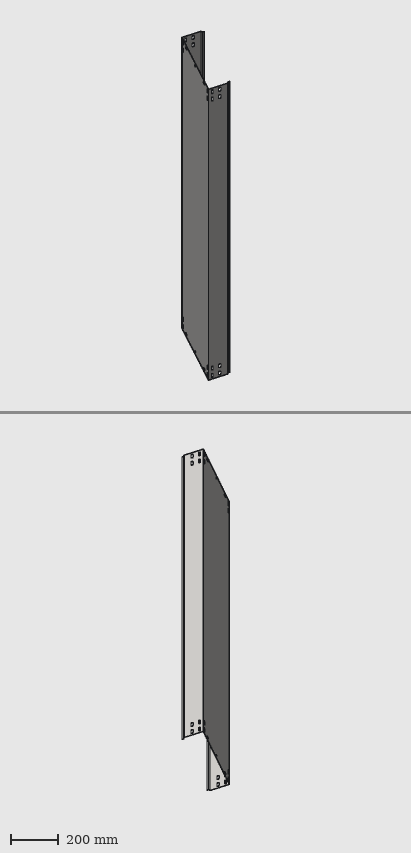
import cadquery as cq
import math

length = 2000.0
width = 300.0
height = 100.0
sheet = 2.0
half_width = width / 2
half_length = length / 2

rim_start = 88.0
rim_inset = 5.0
rim_angle = 40.0

slot_pitch = 50.0
slot_length = slot_pitch / 2
end_to_first_slot = slot_pitch / 2
slots_per_row = 2
slot_width = 7.0
upper_slot_width = 10.0
upper_slot_height = 52.0
lower_slot_height = 18.0
corner_slot_inset = 12.0

end_to_joint = 18.0
joint_slot_length = 15.0
joint_slot_offset = 100.0

floor_cut_depth = 3 * sheet


def half_profile():
    """Outline of the tray section on the -X side, from the middle of the floor to the rim."""
    outer = -half_width
    inner = outer + sheet
    slope = math.radians(rim_angle)
    rim_end = rim_start + rim_inset * math.tan(slope)
    corner_drop = sheet * math.tan((math.pi / 2 - slope) / 2)
    return [
        (0, 0),
        (outer, 0),
        (outer, rim_start),
        (outer + rim_inset, rim_end),
        (outer + rim_inset, height),
        (inner + rim_inset, height),
        (inner + rim_inset, rim_end - corner_drop),
        (inner, rim_start - corner_drop),
        (inner, sheet),
        (0, sheet),
    ]


def tray():
    """Folded sheet: floor, two side walls and stepped rims, open toward +Y."""
    half = cq.Workplane("XY").polyline(half_profile()).close().extrude(half_length, both=True)
    return half.union(half.mirror("YZ"))


def floor_slots(points, slot_size, angle):
    """Cutters for slots through the floor, centred at (x, z) points."""
    sketch = cq.Workplane("XZ").pushPoints(points).slot2D(slot_size, slot_width, angle)
    return sketch.extrude(floor_cut_depth, both=True)


def wall_slots(points, across):
    """Cutters for upright slots through both side walls, centred at (y, z) points."""
    sketch = cq.Workplane("YZ").pushPoints(points).slot2D(slot_length, across, 90)
    return sketch.extrude(width, both=True)


def joint_holes(points):
    """Cutters for round holes through the floor, centred at (x, z) points."""
    sketch = cq.Workplane("XZ").pushPoints(points).circle(slot_width / 2)
    return sketch.extrude(floor_cut_depth, both=True)


signs = (-1, 1)
first_slot_z = half_length - end_to_first_slot
slot_levels = [end * (first_slot_z - i * slot_pitch) for end in signs for i in range(slots_per_row)]
joint_levels = [end * (half_length - end_to_joint) for end in signs]
corner_x = half_width - corner_slot_inset

upper_points = [(upper_slot_height, z) for z in slot_levels]
lower_points = [(lower_slot_height, z) for z in slot_levels]
corner_points = [(side * corner_x, z) for side in signs for z in slot_levels]
joint_slot_points = [(side * joint_slot_offset, z) for side in signs for z in joint_levels]
joint_hole_points = [(0, z) for z in joint_levels]

result = (
    tray()
    .cut(wall_slots(upper_points, upper_slot_width))
    .cut(wall_slots(lower_points, slot_width))
    .cut(floor_slots(corner_points, slot_length, 90))
    .cut(floor_slots(joint_slot_points, joint_slot_length, 0))
    .cut(joint_holes(joint_hole_points))
)